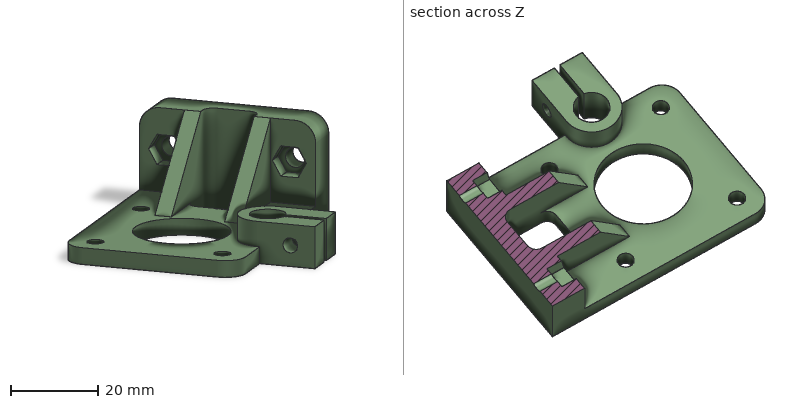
import cadquery as cq

PART_WIDTH = 56.49
PART_LENGTH = 61.5
PART_HEIGHT = 24.0

PLATE_WIDTH = 43.0
PLATE_FRONT = -PLATE_WIDTH / 2
PLATE_THICKNESS = 4.0
CORNER_RADIUS = 5.0
MOTOR_BORE_DIAMETER = 22.6
MOTOR_SCREW_DIAMETER = 3.9
MOTOR_SCREW_SPACING = 31.0

WALL_THICKNESS = 9.0
WALL_BACK = PLATE_FRONT + PART_LENGTH
WALL_FRONT = WALL_BACK - WALL_THICKNESS
WALL_SCREW_DIAMETER = 4.7
WALL_SCREW_SPACING = 30.2
WALL_SCREW_HEIGHT = 14.0
NUT_CORNER_DIAMETER = 8.3
NUT_POCKET_DEPTH = 4.0

OPENING_WIDTH = 13.0
OPENING_FRONT = 21.5
OPENING_BACK = 35.0
OPENING_RADIUS = 2.5
RIB_THICKNESS = 4.0
RIB_SIZE = PART_HEIGHT - PLATE_THICKNESS

CLAMP_END = PART_WIDTH - PLATE_WIDTH / 2
CLAMP_RADIUS = 7.0
CLAMP_HEIGHT = 10.0
CLAMP_CENTER_X = CLAMP_END - 2 * CLAMP_RADIUS
CLAMP_BORE_DIAMETER = 8.4
CLAMP_GAP = 1.5
CLAMP_SCREW_DIAMETER = 3.5
CLAMP_SCREW_OFFSET = 8.0
CLAMP_SCREW_X = CLAMP_CENTER_X + CLAMP_SCREW_OFFSET


def make_plate():
    """Flat plate with its two front corners rounded."""
    plate = cq.Workplane("XY").box(
        PLATE_WIDTH, PART_LENGTH, PLATE_THICKNESS, centered=(True, False, False)
    )
    return plate.translate((0, PLATE_FRONT, 0)).edges("|Z and <Y").fillet(CORNER_RADIUS)


def make_wall():
    """Upright wall with its two top corners rounded."""
    wall = cq.Workplane("XY").box(
        PLATE_WIDTH, WALL_THICKNESS, PART_HEIGHT, centered=(True, False, False)
    )
    return wall.translate((0, WALL_FRONT, 0)).edges("|Y and >Z").fillet(CORNER_RADIUS)


def make_rib(start_x):
    """45 degree rib from the wall top down to the plate, from start_x towards +X."""
    return (
        cq.Workplane("YZ", origin=(start_x, 0, 0))
        .moveTo(WALL_FRONT - RIB_SIZE, PLATE_THICKNESS)
        .lineTo(WALL_FRONT, PLATE_THICKNESS)
        .lineTo(WALL_FRONT, PART_HEIGHT)
        .close()
        .extrude(RIB_THICKNESS)
    )


def make_clamp():
    """Clamp block with a round inner end and a square outer end."""
    return (
        cq.Workplane("XY")
        .moveTo(CLAMP_END, -CLAMP_RADIUS)
        .lineTo(CLAMP_END, CLAMP_RADIUS)
        .lineTo(CLAMP_CENTER_X, CLAMP_RADIUS)
        .threePointArc((CLAMP_CENTER_X - CLAMP_RADIUS, 0), (CLAMP_CENTER_X, -CLAMP_RADIUS))
        .close()
        .extrude(CLAMP_HEIGHT)
    )


def cut_motor_mount(body):
    """Cut the motor bore and its square pattern of four screw holes."""
    bore = cq.Workplane("XY").circle(MOTOR_BORE_DIAMETER / 2).extrude(PLATE_THICKNESS)
    screws = (
        cq.Workplane("XY")
        .rarray(MOTOR_SCREW_SPACING, MOTOR_SCREW_SPACING, 2, 2)
        .circle(MOTOR_SCREW_DIAMETER / 2)
        .extrude(PLATE_THICKNESS)
    )
    return body.cut(bore).cut(screws)


def cut_opening(body):
    """Cut the rounded rectangular opening over the full height."""
    opening = cq.Workplane("XY").box(
        OPENING_WIDTH, OPENING_BACK - OPENING_FRONT, PART_HEIGHT, centered=(True, False, False)
    )
    opening = opening.translate((0, OPENING_FRONT, 0)).edges("|Z").fillet(OPENING_RADIUS)
    return body.cut(opening)


def cut_wall_screws(body):
    """Cut the two wall screw holes with hexagonal nut pockets on the front face."""
    face = cq.Workplane("XZ", origin=(0, WALL_FRONT, WALL_SCREW_HEIGHT))
    centers = [(-WALL_SCREW_SPACING / 2, 0), (WALL_SCREW_SPACING / 2, 0)]
    screws = face.pushPoints(centers).circle(WALL_SCREW_DIAMETER / 2).extrude(-WALL_THICKNESS)
    pockets = face.pushPoints(centers).polygon(6, NUT_CORNER_DIAMETER).extrude(-NUT_POCKET_DEPTH)
    return body.cut(screws).cut(pockets)


def cut_clamp(body):
    """Cut the rod bore, the clamping gap and the cross screw hole."""
    bore = (
        cq.Workplane("XY", origin=(CLAMP_CENTER_X, 0, 0))
        .circle(CLAMP_BORE_DIAMETER / 2)
        .extrude(CLAMP_HEIGHT)
    )
    gap = cq.Workplane("XY").box(
        CLAMP_END - CLAMP_CENTER_X, CLAMP_GAP, CLAMP_HEIGHT, centered=(False, True, False)
    )
    gap = gap.translate((CLAMP_CENTER_X, 0, 0))
    screw = (
        cq.Workplane("XZ", origin=(CLAMP_SCREW_X, 0, CLAMP_HEIGHT / 2))
        .circle(CLAMP_SCREW_DIAMETER / 2)
        .extrude(CLAMP_RADIUS, both=True)
    )
    return body.cut(bore).cut(gap).cut(screw)


body = make_plate().union(make_wall()).union(make_clamp())
for rib_start in (-OPENING_WIDTH / 2 - RIB_THICKNESS, OPENING_WIDTH / 2):
    body = body.union(make_rib(rib_start))
body = cut_motor_mount(body)
body = cut_opening(body)
body = cut_wall_screws(body)
result = cut_clamp(body)